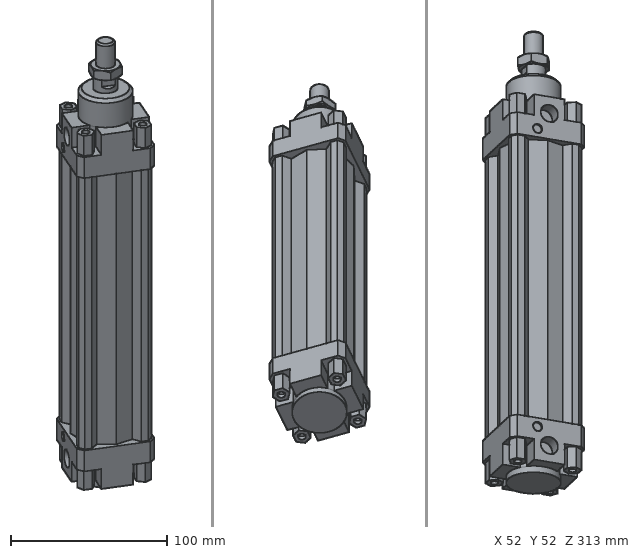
import cadquery as cq
import math


TOTAL_HEIGHT = 313
BASE_BOSS_HEIGHT = 4.5
HEAD_HEIGHT = 29.5
UPPER_HEAD_TOP = 259.2
COLLAR_TOP = 279.0
NUT_BOTTOM = 289.0
NUT_HEIGHT = 7.0
TUBE_BOTTOM = BASE_BOSS_HEIGHT + HEAD_HEIGHT
TUBE_TOP = UPPER_HEAD_TOP - HEAD_HEIGHT

HEAD_WIDTH = 52.0
HEAD_CORNER_CHAMFER = 3.8
POCKET_DEPTH = 14.5
POCKET_INNER = 10.5
CORE_RADIUS = 17.5
COLLAR_CHAMFER = 2.2

TIE_OFFSET = 19.0
TIE_FLATS = 10.0
TIE_HOLE_RADIUS = 2.5
TIE_HOLE_DEPTH = 3
DRILL_POINT_ANGLE = 118

PORT_RADIUS = 6.0
PORT_DEPTH = 9.5
PORT_FROM_END = 11.5
SCREW_RADIUS = 3
SCREW_DEPTH = 1.3
SCREW_X = -8.0
SCREW_FROM_END = 23.5

TUBE_HALF = 24.5
TUBE_CORNER_CHAMFER = 3
GROOVE_OUTER = 16.5
GROOVE_INNER = 12.0
RIDGE_HALF = 23.5

THREAD_RADIUS = 12.2 / 2
THREAD_CHAMFER = 1.3
ROD_RADIUS = 16.0 / 2
ROD_FLATS = 13.0
FLAT_BOTTOM = 282.0
NUT_FLATS = 19.0
NUT_BEVEL_ANGLE = 30


def hexagon_diameter(flats):
    """Diameter across the corners of a hexagon with the given width across flats."""
    return flats / math.cos(math.radians(30))


def make_head():
    """One head with its pocketed end face at Z = 0 and its body below."""
    head = (
        cq.Workplane("XY")
        .box(HEAD_WIDTH, HEAD_WIDTH, HEAD_HEIGHT, centered=(True, True, False))
        .edges("|Z")
        .chamfer(HEAD_CORNER_CHAMFER)
        .translate((0, 0, -HEAD_HEIGHT))
    )
    return add_ports(cut_pockets_and_add_tie_nuts(head))


def cut_pockets_and_add_tie_nuts(head):
    """Open a pocket in each corner around the round core and stand a tie-rod nut in it."""
    pocket_size = HEAD_WIDTH / 2 - POCKET_INNER
    pocket_centre = POCKET_INNER + pocket_size / 2
    core = cq.Workplane("XY").workplane(offset=-POCKET_DEPTH).circle(CORE_RADIUS).extrude(POCKET_DEPTH)
    pocket = (
        cq.Workplane("XY")
        .workplane(offset=-POCKET_DEPTH)
        .center(pocket_centre, pocket_centre)
        .rect(pocket_size, pocket_size)
        .extrude(POCKET_DEPTH)
        .cut(core)
    )
    tie_nut = make_tie_nut()
    for quarter in range(4):
        angle = 90 * quarter
        head = head.cut(pocket.rotate((0, 0, 0), (0, 0, 1), angle))
        head = head.union(tie_nut.rotate((0, 0, 0), (0, 0, 1), angle))
    return head


def make_tie_nut():
    """Hexagonal tie-rod nut with a drilled end, in the +X +Y corner."""
    point_depth = TIE_HOLE_RADIUS / math.tan(math.radians(DRILL_POINT_ANGLE / 2))
    hole = (
        cq.Workplane("XZ")
        .polyline(
            [
                (0, 0),
                (TIE_HOLE_RADIUS, 0),
                (TIE_HOLE_RADIUS, -TIE_HOLE_DEPTH),
                (0, -TIE_HOLE_DEPTH - point_depth),
            ]
        )
        .close()
        .revolve(360, (0, 0, 0), (0, 1, 0))
    )
    return (
        cq.Workplane("XY")
        .workplane(offset=-POCKET_DEPTH)
        .polygon(6, hexagon_diameter(TIE_FLATS))
        .extrude(POCKET_DEPTH)
        .cut(hole)
        .translate((TIE_OFFSET, TIE_OFFSET, 0))
    )


def add_ports(head):
    """Air port and cushion screw recess, both blind, on the -Y side."""
    side = cq.Workplane("XZ", origin=(0, -HEAD_WIDTH / 2, 0))
    port = side.center(0, -PORT_FROM_END).circle(PORT_RADIUS).extrude(-PORT_DEPTH)
    screw = side.center(SCREW_X, -SCREW_FROM_END).circle(SCREW_RADIUS).extrude(-SCREW_DEPTH)
    return head.cut(port).cut(screw)


def make_tube():
    """Profiled tube: each side has a corner flat, a groove, a blunt ridge and the same mirrored."""
    corner_flat = TUBE_HALF - TUBE_CORNER_CHAMFER
    groove_floor = TUBE_HALF - (GROOVE_OUTER - GROOVE_INNER)
    side = [
        (-corner_flat, -TUBE_HALF),
        (-GROOVE_OUTER, -TUBE_HALF),
        (-GROOVE_INNER, -groove_floor),
        (0, -RIDGE_HALF),
        (GROOVE_INNER, -groove_floor),
        (GROOVE_OUTER, -TUBE_HALF),
        (corner_flat, -TUBE_HALF),
    ]
    outline = []
    for _ in range(4):
        outline += side
        side = [(-y, x) for x, y in side]
    return (
        cq.Workplane("XY")
        .workplane(offset=TUBE_BOTTOM)
        .polyline(outline)
        .close()
        .extrude(TUBE_TOP - TUBE_BOTTOM)
    )


def make_housing():
    """Tube, two mirrored heads, the rod collar on top and the centring boss below."""
    head = make_head()
    upper_head = head.translate((0, 0, UPPER_HEAD_TOP))
    lower_head = head.mirror("XY").translate((0, 0, BASE_BOSS_HEIGHT))
    collar = (
        cq.Workplane("XY")
        .workplane(offset=UPPER_HEAD_TOP)
        .circle(CORE_RADIUS)
        .extrude(COLLAR_TOP - UPPER_HEAD_TOP)
        .faces(">Z")
        .chamfer(COLLAR_CHAMFER)
    )
    boss = cq.Workplane("XY").circle(CORE_RADIUS).extrude(BASE_BOSS_HEIGHT)
    return make_tube().union(upper_head).union(lower_head).union(collar).union(boss)


def make_rod():
    """Piston rod standing on the collar, with two wrench flats and a thread shank."""
    rod = (
        cq.Workplane("XY")
        .workplane(offset=COLLAR_TOP)
        .circle(ROD_RADIUS)
        .extrude(NUT_BOTTOM - COLLAR_TOP)
    )
    flat_half = ROD_FLATS / 2
    flat_depth = ROD_RADIUS - flat_half
    flat_cut = (
        cq.Workplane("XZ")
        .polyline(
            [
                (ROD_RADIUS, FLAT_BOTTOM),
                (flat_half, FLAT_BOTTOM + flat_depth),
                (flat_half, NUT_BOTTOM),
                (ROD_RADIUS, NUT_BOTTOM),
            ]
        )
        .close()
        .extrude(ROD_RADIUS, both=True)
    )
    shank = (
        cq.Workplane("XY")
        .workplane(offset=NUT_BOTTOM)
        .circle(THREAD_RADIUS)
        .extrude(TOTAL_HEIGHT - NUT_BOTTOM)
        .faces(">Z")
        .chamfer(THREAD_CHAMFER)
    )
    return rod.cut(flat_cut).cut(flat_cut.mirror("YZ")).union(shank)


def make_nut():
    """Hexagonal lock nut with both ends bevelled, its bore fitting the thread shank."""
    corner_radius = hexagon_diameter(NUT_FLATS) / 2
    flat_radius = NUT_FLATS / 2
    bevel_height = (corner_radius - flat_radius) * math.tan(math.radians(NUT_BEVEL_ANGLE))
    bevelled_blank = (
        cq.Workplane("XZ")
        .polyline(
            [
                (THREAD_RADIUS, 0),
                (flat_radius, 0),
                (corner_radius, bevel_height),
                (corner_radius, NUT_HEIGHT - bevel_height),
                (flat_radius, NUT_HEIGHT),
                (THREAD_RADIUS, NUT_HEIGHT),
            ]
        )
        .close()
        .revolve(360, (0, 0, 0), (0, 1, 0))
    )
    return (
        cq.Workplane("XY")
        .polygon(6, 2 * corner_radius)
        .extrude(NUT_HEIGHT)
        .intersect(bevelled_blank)
        .translate((0, 0, NUT_BOTTOM))
    )


housing = make_housing()
rod = make_rod()
nut = make_nut()

result = cq.Compound.makeCompound([housing.val(), rod.val(), nut.val()])